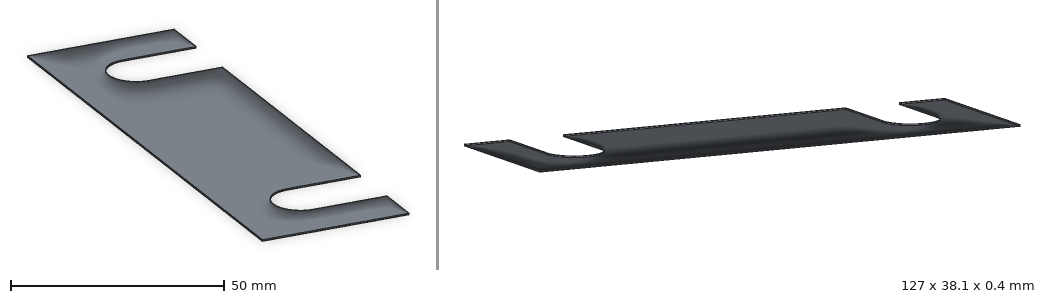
import cadquery as cq

length = 127.0
width = 38.1
thickness = 0.4

slot_width = 14.2
slot_spacing = 88.9
slot_center_depth = 19.0


def slot_cutter(center_x):
    """Slot that opens through the back (+Y) edge."""
    radius = slot_width / 2
    back_edge = width / 2
    round_center = back_edge - slot_center_depth
    return (
        cq.Workplane("XY")
        .moveTo(center_x - radius, back_edge)
        .lineTo(center_x - radius, round_center)
        .threePointArc((center_x, round_center - radius), (center_x + radius, round_center))
        .lineTo(center_x + radius, back_edge)
        .close()
        .extrude(thickness)
    )


result = cq.Workplane("XY").rect(length, width).extrude(thickness)
for side in (-1, 1):
    result = result.cut(slot_cutter(side * slot_spacing / 2))